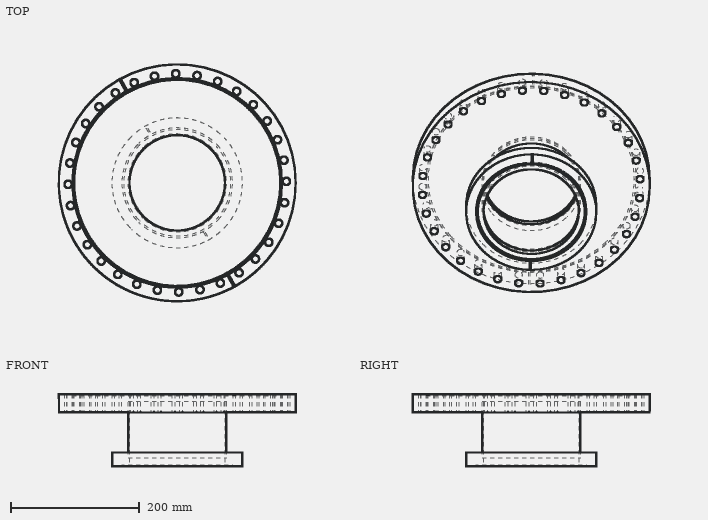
import cadquery as cq

total_height = 112.2
upper_thickness = 28.0
lower_thickness = 22.0

tube_outer_radius = 76.4
bore_radius = 74.0
upper_socket_lip = 9.6
lower_socket_lip = 11.6

upper_radius = 184.1
upper_recess_radius = 162.8
upper_knife_radius = 160.0

lower_radius = 101.2
lower_recess_radius = 85.7
lower_knife_radius = lower_recess_radius - (upper_recess_radius - upper_knife_radius)

face_depth = 1.4
gutter_depth = 2.6

bolt_count = 32
bolt_circle_radius = 169.4
bolt_diameter = 11.2
groove_angle = 118.9
groove_width = 2.4
groove_depth = 1.0
groove_overrun = 1.0


def flange_blank(outer_radius, recess_radius, knife_radius, thickness, lip):
    """Ring with its sealing face at Z = 0 and its body below, bored and socketed for the tube."""
    socket_top = -(face_depth + lip)
    profile = [
        (bore_radius, -face_depth),
        (knife_radius, -face_depth),
        (recess_radius, -gutter_depth),
        (recess_radius, 0),
        (outer_radius, 0),
        (outer_radius, -thickness),
        (tube_outer_radius, -thickness),
        (tube_outer_radius, socket_top),
        (bore_radius, socket_top),
    ]
    return cq.Workplane("XZ").polyline(profile).close().revolve(360, (0, 0, 0), (0, 1, 0))


def cut_leak_grooves(flange, outer_radius, recess_radius, angle):
    """Cut two opposite radial grooves across the rim of the sealing face."""
    cutter_length = outer_radius - recess_radius + 2 * groove_overrun
    cutter_center = (outer_radius + recess_radius) / 2
    for turn in (0, 180):
        groove = (
            cq.Workplane("XY")
            .box(cutter_length, groove_width, 2 * groove_depth)
            .translate((cutter_center, 0, 0))
            .rotate((0, 0, 0), (0, 0, 1), angle + turn)
        )
        flange = flange.cut(groove)
    return flange


def make_upper_flange():
    flange = flange_blank(
        upper_radius, upper_recess_radius, upper_knife_radius, upper_thickness, upper_socket_lip
    )
    flange = cut_leak_grooves(flange, upper_radius, upper_recess_radius, groove_angle)
    first_bolt_angle = groove_angle + 180 / bolt_count
    bolts = (
        cq.Workplane("XY")
        .polarArray(bolt_circle_radius, first_bolt_angle, 360, bolt_count)
        .circle(bolt_diameter / 2)
        .extrude(-upper_thickness)
    )
    return flange.cut(bolts).translate((0, 0, total_height))


def make_lower_flange():
    flange = flange_blank(
        lower_radius, lower_recess_radius, lower_knife_radius, lower_thickness, lower_socket_lip
    )
    flange = cut_leak_grooves(flange, lower_radius, lower_recess_radius, -groove_angle)
    return flange.rotate((0, 0, 0), (1, 0, 0), 180)


def make_tube():
    bottom = face_depth + lower_socket_lip
    top = total_height - face_depth - upper_socket_lip
    return (
        cq.Workplane("XY")
        .workplane(offset=bottom)
        .circle(tube_outer_radius)
        .circle(bore_radius)
        .extrude(top - bottom)
    )


upper_flange = make_upper_flange()
lower_flange = make_lower_flange()
tube = make_tube()

result = cq.Compound.makeCompound([upper_flange.val(), lower_flange.val(), tube.val()])